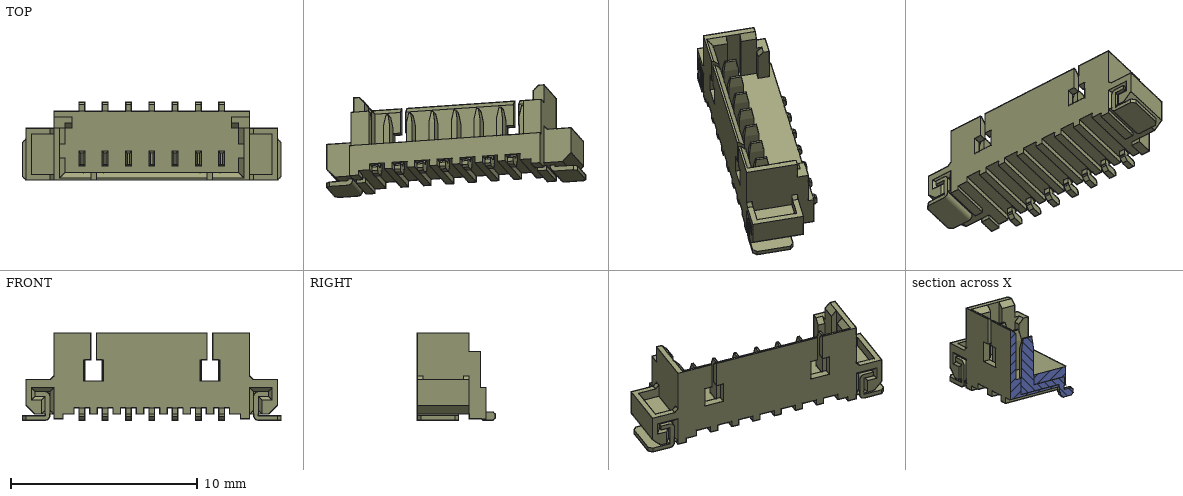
import cadquery as cq


body_half = 5.27
body_top = 4.7
body_bottom = 0.33
wall = 0.3
ledge = 0.29
front_wall = 0.4
base_depth = 3.71
end_wall_depth = 2.8
floor_top = 1.77
lead_in = 0.29
lead_in_angle = 45
inner_half = body_half - wall - ledge
end_recess_front = 1.2
end_recess_length = 0.75

post_top = 3.71
post_back = 3.4
post_width = 0.99

latch_x = 3.13
latch_width = 1.08
latch_bottom = 2.13
latch_top = 3.25
latch_slit = 0.29

foot_width = 0.5
foot_bottom = 0.08
foot_clearance = 0.58
channel_width = 0.83
channel_top = 0.67

ear_half = 6.77
ear_top = 2.2
ear_pocket_floor = 1.67
ear_chamfer = 0.47
gusset = 0.2

nail_half = 6.95
nail_depth = 2.22
nail_thickness = 0.25
nail_top = 1.54
nail_leg_inner = 5.48
nail_flange_end = 6.27
nail_bend_radius = 0.26
nail_tip_chamfer = 0.2
mouth_flare = 0.21

pin_count = 7
pitch = 1.25
pin_width = 0.32
blade_front = 0.75
blade_back = 1.55
blade_top = 4.02
blade_tip_height = 0.6
blade_tip_inset = 0.104
run_bottom = 0.83
run_top = 1.17
leg_front = 3.28
leg_thickness = 0.32
tail_end = 4.2
tail_top = 0.46
tail_chamfer = 0.13
heel_setback = 0.04
heel_chamfer = 0.21

pin_positions = [(i - (pin_count - 1) / 2) * pitch for i in range(pin_count)]


def box(x0, x1, y0, y1, z0, z1):
    """Box between two limits on each axis."""
    return cq.Workplane("XY").box(x1 - x0, y1 - y0, z1 - z0, centered=False).translate((x0, y0, z0))


def prism_along_y(points, y0, y1):
    """XZ outline extended from y0 to y1."""
    return cq.Workplane("XZ", origin=(0, y0, 0)).polyline(points).close().extrude(y0 - y1)


def prism_along_x(points, x0, x1):
    """YZ outline extended from x0 to x1."""
    return cq.Workplane("YZ", origin=(x0, 0, 0)).polyline(points).close().extrude(x1 - x0)


def both_ends(shape):
    """The shape of the +X end together with its mirror image."""
    return shape.union(shape.mirror("YZ"))


def make_shell():
    """Floor block, front wall and end walls, with a chamfered inner rim and an open back."""
    floor = box(-body_half, body_half, 0, base_depth, body_bottom, floor_top)
    walls = box(-body_half, body_half, 0, end_wall_depth, floor_top, body_top)
    opening = box(-inner_half, inner_half, front_wall, end_wall_depth, floor_top, body_top)
    rim_half = inner_half + lead_in
    rim_front = front_wall - lead_in
    lead_in_cut = (
        cq.Workplane("XY", origin=(0, 0, body_top))
        .rect(2 * rim_half, 2 * (end_wall_depth + lead_in - rim_front))
        .extrude(-lead_in, taper=lead_in_angle)
        .translate((0, end_wall_depth + lead_in, 0))
    )
    recess = box(inner_half, body_half - wall, end_recess_front,
                 end_recess_front + end_recess_length, floor_top, body_top)
    return floor.union(walls).cut(opening).cut(lead_in_cut).cut(both_ends(recess))


def make_post():
    """Rear corner post of the +X end, with a chamfer on its inner front edge."""
    post = box(body_half - post_width, body_half, end_wall_depth, post_back, floor_top, post_top)
    bevel = prism_along_x(
        [(end_wall_depth, post_top), (end_wall_depth + lead_in, post_top),
         (end_wall_depth, post_top - lead_in)],
        body_half - post_width, inner_half)
    return post.cut(bevel)


def make_latch_opening():
    """Window in the front wall with a slit up to the rim, at +X."""
    window = box(latch_x - latch_width / 2, latch_x + latch_width / 2, 0, front_wall,
                 latch_bottom, latch_top)
    slit = box(latch_x - latch_slit / 2, latch_x + latch_slit / 2, 0, front_wall,
               latch_top, body_top)
    return window.union(slit)


def make_feet():
    """Front and rear standing feet below the +X end."""
    x0 = body_half - foot_width
    front = box(x0, body_half, 0, end_wall_depth - foot_clearance, foot_bottom, body_bottom)
    rear = box(x0, body_half, end_wall_depth, base_depth, foot_bottom, body_bottom)
    return front.union(rear)


def make_ear():
    """Open-topped box on the +X end, with gussets where its rim meets the end wall."""
    ear = prism_along_y(
        [(body_half, body_bottom), (ear_half - ear_chamfer, body_bottom),
         (ear_half, body_bottom + ear_chamfer), (ear_half, ear_top), (body_half, ear_top)],
        0, end_wall_depth)
    pocket = box(body_half, ear_half - wall, wall, end_wall_depth - wall, ear_pocket_floor, ear_top)
    ear = ear.cut(pocket)
    corner = [(body_half, ear_top), (body_half + gusset, ear_top), (body_half, ear_top + gusset)]
    for y0 in (0, end_wall_depth - wall):
        ear = ear.union(prism_along_y(corner, y0, y0 + wall))
    return ear


def nail_slot_outline(flare):
    """Hook-shaped outline of the nail's leg and flange inside the ear, grown outward by `flare`."""
    bottom = body_bottom + mouth_flare - flare
    inner = nail_leg_inner - flare
    outer = nail_leg_inner + nail_thickness + flare
    tip = nail_flange_end + flare
    top = nail_top + flare
    flange_bottom = nail_top - nail_thickness - flare
    return [(inner, bottom), (inner, top), (tip, top), (tip, flange_bottom),
            (outer, flange_bottom), (outer, bottom)]


def make_nail_slot():
    """Slot for the +X nail, flared at the front face."""
    slot = prism_along_y(nail_slot_outline(0), 0, nail_depth)
    leg_way = box(nail_leg_inner, nail_leg_inner + nail_thickness, 0, nail_depth, 0, nail_top)
    mouth = (
        cq.Workplane("XZ")
        .polyline(nail_slot_outline(mouth_flare)).close()
        .workplane(offset=-mouth_flare)
        .polyline(nail_slot_outline(0)).close()
        .loft(ruled=True)
    )
    return slot.union(leg_way).union(mouth)


def make_nail():
    """Bent hold-down strip at the +X end: foot, upright leg and flange."""
    leg_outer = nail_leg_inner + nail_thickness
    nail = prism_along_y(
        [(nail_half, 0), (nail_leg_inner, 0), (nail_leg_inner, nail_top),
         (nail_flange_end, nail_top), (nail_flange_end, nail_top - nail_thickness),
         (leg_outer, nail_top - nail_thickness), (leg_outer, nail_thickness),
         (nail_half, nail_thickness)],
        0, nail_depth)
    nail = nail.edges("|Y").edges("<X").fillet(nail_bend_radius)
    return nail.faces(">X").edges("|Z").chamfer(nail_tip_chamfer)


def make_pin(x):
    """Contact with a tapered blade, a buried run, a rear leg and a solder tail."""
    leg_back = leg_front + leg_thickness
    heel = leg_front + heel_setback
    shoulder = blade_top - blade_tip_height
    strip = prism_along_x(
        [(blade_front, run_bottom), (leg_front, run_bottom), (leg_front, body_bottom),
         (heel, body_bottom), (heel, heel_chamfer), (heel + heel_chamfer, 0),
         (tail_end - tail_chamfer, 0), (tail_end, tail_chamfer),
         (tail_end, tail_top - tail_chamfer), (tail_end - tail_chamfer, tail_top),
         (leg_back, tail_top), (leg_back, run_top), (blade_back, run_top),
         (blade_back, shoulder), (blade_front, shoulder)],
        -pin_width / 2, pin_width / 2)
    blade_depth = blade_back - blade_front
    tip = (
        cq.Workplane("XY", origin=(0, (blade_front + blade_back) / 2, shoulder))
        .rect(pin_width, blade_depth)
        .workplane(offset=blade_tip_height)
        .rect(pin_width - 2 * blade_tip_inset, blade_depth - 2 * blade_tip_inset)
        .loft(ruled=True)
    )
    return strip.union(tip).translate((x, 0, 0))


def make_housing(pins):
    """Insulating body with a fitting passage for every contact and a slot for every nail."""
    housing = make_shell()
    for add_on in (make_post(), make_feet(), make_ear()):
        housing = housing.union(both_ends(add_on))
    for cut_out in (make_latch_opening(), make_nail_slot()):
        housing = housing.cut(both_ends(cut_out))
    for x in pin_positions:
        channel = box(x - channel_width / 2, x + channel_width / 2, 0, base_depth,
                      body_bottom, channel_top)
        housing = housing.cut(channel)
    for pin in pins:
        housing = housing.cut(pin)
    return housing


pins = [make_pin(x) for x in pin_positions]
nail = make_nail()
nails = [nail, nail.mirror("YZ")]
housing = make_housing(pins)

bodies = [housing, *pins, *nails]
result = cq.Compound.makeCompound([body.solids().val() for body in bodies])